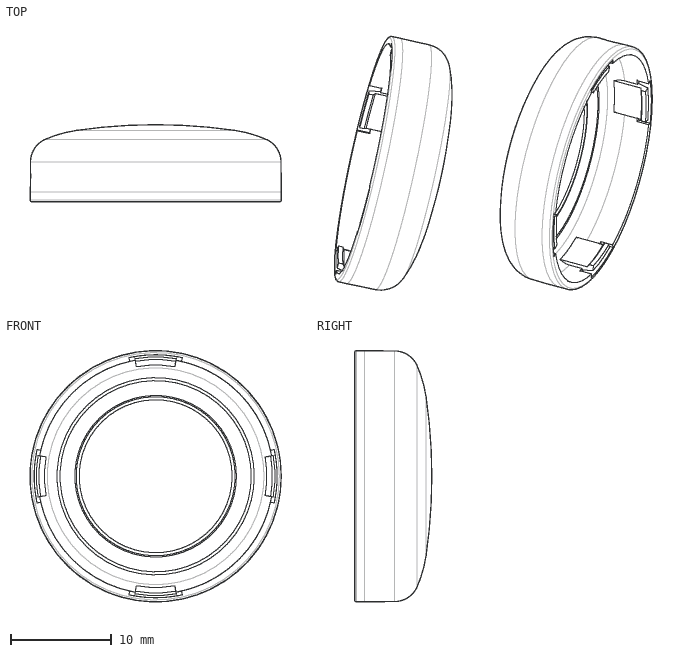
import cadquery as cq
import math

outer_radius = 12.5
total_height = 7.69
wall = 0.8
rim_fillet = 0.2
parting_height = 1.0
side_draft = 0.5
outer_corner_radius = 2.5
outer_corner_height = 3.95
outer_corner_end_radius = 11.1
shoulder_middle = (9.6, 6.74)
crown_radius = 7.9
crown_height = 7.12

inner_radius = outer_radius - wall
inner_corner_radius = 1.7
inner_corner_height = 2.65
inner_corner_end_radius = 10.77
ledge_outer_radius = 9.8
ledge_inner_radius = 9.5
ledge_height = 4.66
window_step_outer_radius = 8.03
window_step_inner_radius = 7.9
window_step_height = 5.15
window_radius = 7.6
window_edge_height = 5.3
crown_thickness = 2.0
window_center_height = total_height - crown_thickness

tab_count = 4
tab_half_angle = 10.0
tab_inner_radius = 11.35
tab_lip_radius = 11.05
tab_front_outer_radius = 11.6
tab_root_outer_radius = 11.86
tab_front_height = 0.1
tab_lip_height = 0.55
tab_lip_base_height = 0.75
tab_end_height = 3.88
recess_half_angle = 12.7
recess_radius = 12.08
recess_depth = 1.27

embed_radius = 12.2

draft_slope = math.tan(math.radians(side_draft))
rim_edge_radius = outer_radius - (parting_height - rim_fillet) * draft_slope
outer_corner_start_radius = outer_radius - (outer_corner_height - parting_height) * draft_slope

rim_y = -total_height / 2


def corner_arc(start_radius, start_height, end_radius, corner_radius):
    """Middle and end points of the arc that turns from the side wall into the top."""
    center_radius = start_radius - corner_radius
    sweep = math.acos((end_radius - center_radius) / corner_radius)
    return [
        (
            center_radius + corner_radius * math.cos(angle),
            start_height + corner_radius * math.sin(angle),
        )
        for angle in (sweep / 2, sweep)
    ]


def dome_middle(edge_radius, edge_height, center_height):
    """Point halfway out on a spherical dome between its edge and its centre."""
    rise = center_height - edge_height
    sphere_radius = (edge_radius**2 + rise**2) / (2 * rise)
    middle_radius = edge_radius / 2
    drop = sphere_radius - math.sqrt(sphere_radius**2 - middle_radius**2)
    return middle_radius, center_height - drop


def revolve(profile, angle=360):
    """Turn a closed (radius, height) profile about the Y axis."""
    return profile.close().revolve(angle, (0, 0, 0), (0, 1, 0))


def outer_body():
    fillet_inset = rim_fillet * (1 - math.sqrt(0.5))
    corner_middle, corner_end = corner_arc(
        outer_corner_start_radius, outer_corner_height, outer_corner_end_radius, outer_corner_radius
    )
    profile = (
        cq.Workplane("XY")
        .moveTo(0, 0)
        .lineTo(rim_edge_radius - rim_fillet, 0)
        .threePointArc((rim_edge_radius - fillet_inset, fillet_inset), (rim_edge_radius, rim_fillet))
        .lineTo(outer_radius, parting_height)
        .lineTo(outer_corner_start_radius, outer_corner_height)
        .threePointArc(corner_middle, corner_end)
        .threePointArc(shoulder_middle, (crown_radius, crown_height))
        .threePointArc(dome_middle(crown_radius, crown_height, total_height), (0, total_height))
    )
    return revolve(profile)


def cavity():
    corner_middle, corner_end = corner_arc(
        inner_radius, inner_corner_height, inner_corner_end_radius, inner_corner_radius
    )
    profile = (
        cq.Workplane("XY")
        .moveTo(0, 0)
        .lineTo(inner_radius, 0)
        .lineTo(inner_radius, inner_corner_height)
        .threePointArc(corner_middle, corner_end)
        .tangentArcPoint((ledge_outer_radius, ledge_height), relative=False)
        .lineTo(ledge_inner_radius, ledge_height)
        .lineTo(window_step_outer_radius, window_step_height)
        .lineTo(window_step_inner_radius, window_step_height)
        .lineTo(window_radius, window_edge_height)
        .threePointArc(
            dome_middle(window_radius, window_edge_height, window_center_height),
            (0, window_center_height),
        )
    )
    return revolve(profile)


def sector(points, half_angle):
    """Revolved (radius, height) outline, centred on +X and spanning +/- half_angle."""
    solid = revolve(cq.Workplane("XY").polyline(points), 2 * half_angle)
    return solid.rotate((0, 0, 0), (0, 1, 0), -half_angle)


def rim_recess():
    return sector(
        [
            (tab_lip_radius, 0),
            (recess_radius, 0),
            (recess_radius, recess_depth),
            (tab_lip_radius, recess_depth),
        ],
        recess_half_angle,
    )


def snap_tab():
    return sector(
        [
            (tab_lip_radius, tab_front_height),
            (tab_front_outer_radius, tab_front_height),
            (tab_root_outer_radius, recess_depth),
            (embed_radius, recess_depth),
            (embed_radius, tab_end_height),
            (tab_inner_radius, tab_end_height),
            (tab_inner_radius, tab_lip_base_height),
            (tab_lip_radius, tab_lip_height),
        ],
        tab_half_angle,
    )


cap = outer_body().cut(cavity(), clean=False)
for index in range(tab_count):
    turn = index * 360 / tab_count
    cap = cap.cut(rim_recess().rotate((0, 0, 0), (0, 1, 0), turn), clean=False)
    cap = cap.union(snap_tab().rotate((0, 0, 0), (0, 1, 0), turn), clean=False)

result = cap.translate((0, rim_y, 0))